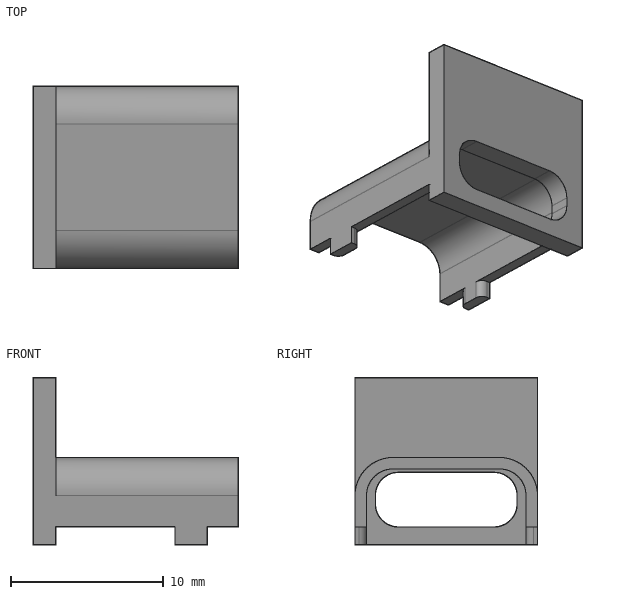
import cadquery as cq

length = 13.5
width = 12.0
plate_height = 11.0
plate_thickness = 1.5

hood_bottom = 1.19
hood_top = 5.75
hood_radius = 2.5
hood_wall = 0.75
hood_length = length - plate_thickness

slot_width = 9.3
slot_height = 3.58
slot_radius = 1.5

tab_start = 9.33
tab_length = 2.13
tab_radius = 0.5


def rounded_bar(bar_width, top, radius):
    """Bar along X behind the plate, with its two upper edges rounded."""
    height = top - hood_bottom
    return (
        cq.Workplane("XY")
        .box(hood_length, bar_width, height, centered=(False, True, False))
        .translate((plate_thickness, 0, hood_bottom))
        .edges("|X and >Z")
        .fillet(radius)
    )


def make_plate():
    plate = cq.Workplane("XY").box(
        plate_thickness, width, plate_height, centered=(False, True, False)
    )
    slot = (
        cq.Workplane("XY")
        .box(plate_thickness, slot_width, slot_height, centered=(False, True, False))
        .translate((0, 0, hood_bottom))
        .edges("|X")
        .fillet(slot_radius)
    )
    return plate.cut(slot)


def make_hood():
    outside = rounded_bar(width, hood_top, hood_radius)
    cavity = rounded_bar(
        width - 2 * hood_wall, hood_top - hood_wall, hood_radius - hood_wall
    )
    return outside.cut(cavity)


def make_tab(side):
    """Tab under one wall (side is -1 or 1), rounded on its inner corners."""
    inner_edges = "|Z and >Y" if side < 0 else "|Z and <Y"
    wall_center = side * (width - hood_wall) / 2
    return (
        cq.Workplane("XY")
        .box(tab_length, hood_wall, hood_bottom, centered=(False, True, False))
        .edges(inner_edges)
        .fillet(tab_radius)
        .translate((tab_start, wall_center, 0))
    )


result = make_plate().union(make_hood())
for side in (-1, 1):
    result = result.union(make_tab(side))